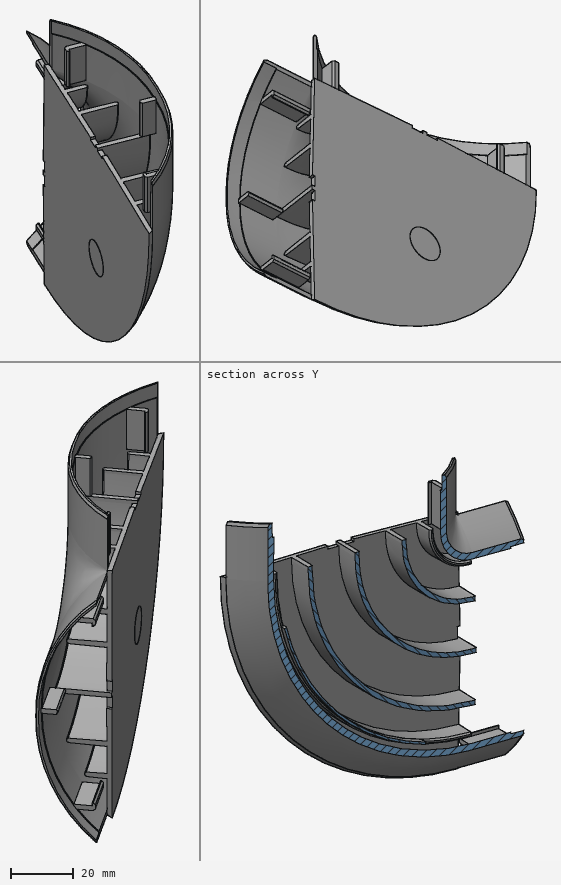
import cadquery as cq
import math


mid_radius = 44.6
half_width = 44.5
crown_height = 19.8
shell_thickness = 1.4
arm_length = 19.9
bend_angle = 90.0
flank_radius = 56.7

flank_chord = math.hypot(half_width, crown_height)
chord_to_center = math.sqrt(flank_radius**2 - (flank_chord / 2) ** 2)
flank_center_offset = half_width / 2 - chord_to_center * crown_height / flank_chord
flank_center_height = crown_height / 2 - chord_to_center * half_width / flank_chord

mouth_depth = 5.1
mouth_thickness = 1.1
mouth_chamfer_length = 1.1
mouth_chamfer_depth = 0.4

rib_width = 1.8
rib_bottom = 13.2
rib_tip_height = 0.5
rib_top = 19.3
rib_end_gap = 4.5

hook_inner = 33.5
hook_outer = 35.2
hook_top = 8.1
hook_bottom = 1.2
hook_toe_length = 1.1
hook_toe_height = 1.0
hook_corner = 0.7
hook_end_gap = 0.2

base_thickness = 1.7
base_radius = 90.2
base_edge_slope = 1.0
corner_overhang = 0.5
edge_peak = 1.0
notch_half_width = 5.1
notch_depth = 1.1
boss_radius = 6.2
boss_height = 0.1

wall_root_width = 2.0
wall_tip_width = 1.7
wall_tip_chamfer = 0.5
inner_wall_offset = 18.2
inner_wall_height = 13.1
outer_wall_offset = 30.2
outer_wall_height = 7.3
center_wall_width = 1.8
center_wall_height = 16.8

tab_inner_radius = 74.0
tab_outer_radius = 75.0
tab_height = 9.7
tab_end_angle = 14.0

edge_reach = corner_overhang + edge_peak
clear = 110.1


def to_second_end(shape):
    """Carry a shape from the +Z end of the bend to the matching place at the -X end."""
    return shape.mirror("XY").rotate((0, 0, 0), (0, 1, 0), bend_angle)


def flank_points(inset, side):
    """Crown, shoulder and end of one flank arc, inset from the outer arc; side is +1 or -1."""
    radius = flank_radius - inset
    crown_angle = -math.asin(flank_center_offset / radius)
    end_angle = math.acos(-flank_center_height / radius)
    angles = (crown_angle, (crown_angle + end_angle) / 2, end_angle)
    return [
        (
            mid_radius + side * (flank_center_offset + radius * math.sin(angle)),
            flank_center_height + radius * math.cos(angle),
        )
        for angle in angles
    ]


def segment(inset):
    """Closed circular segment above the seat, split at the crown."""
    crown, left_shoulder, left = flank_points(inset, -1)
    crown, right_shoulder, right = flank_points(inset, 1)
    return (
        cq.Workplane("XY")
        .moveTo(*left)
        .threePointArc(left_shoulder, crown)
        .threePointArc(right_shoulder, right)
        .close()
    )


def shell_section():
    """Closed band between the outer arc and the inner arc of the shell."""
    crown, left_shoulder, left = flank_points(0, -1)
    crown, right_shoulder, right = flank_points(0, 1)
    in_crown, in_left_shoulder, in_left = flank_points(shell_thickness, -1)
    in_crown, in_right_shoulder, in_right = flank_points(shell_thickness, 1)
    return (
        cq.Workplane("XY")
        .moveTo(*left)
        .threePointArc(left_shoulder, crown)
        .threePointArc(right_shoulder, right)
        .lineTo(*in_right)
        .threePointArc(in_right_shoulder, in_crown)
        .threePointArc(in_left_shoulder, in_left)
        .close()
    )


def sweep_bend(make_profile, reach):
    """Turn a profile through the bend and run it straight past both ends by reach."""
    bend = make_profile().revolve(bend_angle, (0, 0), (0, 1))
    straight = make_profile().extrude(reach)
    return bend.union(straight).union(to_second_end(straight))


def make_crown_rib():
    length = arm_length - rib_end_gap - edge_reach
    half = rib_width / 2
    return (
        cq.Workplane("XY", origin=(mid_radius, 0, edge_reach))
        .moveTo(-half, rib_top)
        .lineTo(-half, rib_bottom + rib_tip_height)
        .lineTo(0, rib_bottom)
        .lineTo(half, rib_bottom + rib_tip_height)
        .lineTo(half, rib_top)
        .close()
        .extrude(length)
    )


def make_hook(side):
    """Hook with its toe turned toward the crown line; side is +1 outside the bend, -1 inside."""
    outline = [
        (hook_inner, hook_top),
        (hook_inner, hook_bottom + hook_toe_height),
        (hook_inner - hook_toe_length, hook_bottom + hook_toe_height),
        (hook_inner - hook_toe_length, hook_bottom + hook_corner),
        (hook_inner - hook_toe_length + hook_corner, hook_bottom),
        (hook_outer - hook_corner, hook_bottom),
        (hook_outer, hook_bottom + hook_corner),
        (hook_outer, hook_top),
    ]
    points = [(mid_radius + side * offset, height) for offset, height in outline]
    length = arm_length - mouth_depth - hook_end_gap
    return cq.Workplane("XY", origin=(0, 0, hook_end_gap)).polyline(points).close().extrude(length)


def make_arm():
    arm = segment(0).extrude(arm_length)
    arm = arm.faces(">Z").edges("%CIRCLE").chamfer(mouth_chamfer_length, mouth_chamfer_depth)
    arm = arm.cut(segment(shell_thickness).extrude(arm_length), clean=False)
    mouth = segment(mouth_thickness).extrude(mouth_depth)
    arm = arm.cut(mouth.translate((0, 0, arm_length - mouth_depth)), clean=False)
    arm = arm.union(make_crown_rib(), clean=False)
    for side in (1, -1):
        arm = arm.union(make_hook(side), clean=False)
    return arm


def make_cover():
    bend = shell_section().revolve(bend_angle, (0, 0), (0, 1))
    arm = make_arm()
    return bend.union(arm, clean=False).union(to_second_end(arm), clean=False)


def make_trim():
    """Tall block bounded by the two shallow-peaked edges of the base."""
    return (
        cq.Workplane("XZ", origin=(0, clear, 0))
        .moveTo(-corner_overhang, corner_overhang)
        .lineTo(mid_radius, edge_reach)
        .lineTo(base_radius, corner_overhang)
        .lineTo(clear, corner_overhang)
        .lineTo(clear, -clear)
        .lineTo(-corner_overhang, -clear)
        .lineTo(-corner_overhang, -base_radius)
        .lineTo(-edge_reach, -mid_radius)
        .close()
        .extrude(2 * clear)
    )


def make_plate():
    return (
        cq.Workplane("XY")
        .polyline([
            (0, 0),
            (base_radius - base_edge_slope, 0),
            (base_radius, -base_thickness),
            (0, -base_thickness),
        ])
        .close()
        .revolve(360, (0, 0), (0, 1))
    )


def make_wall(radius, root_width, tip_width, height):
    root = root_width / 2
    tip = tip_width / 2

    def profile():
        return cq.Workplane("XY").polyline([
            (radius - root, -base_thickness / 2),
            (radius - root, 0),
            (radius - tip, height - wall_tip_chamfer),
            (radius - tip + wall_tip_chamfer, height),
            (radius + tip - wall_tip_chamfer, height),
            (radius + tip, height - wall_tip_chamfer),
            (radius + root, 0),
            (radius + root, -base_thickness / 2),
        ]).close()

    return sweep_bend(profile, 2 * edge_reach)


def make_tab():
    return (
        cq.Workplane("XY")
        .moveTo(tab_inner_radius, 0)
        .lineTo(tab_outer_radius, 0)
        .lineTo(tab_outer_radius, tab_height)
        .lineTo(tab_inner_radius, tab_height)
        .close()
        .revolve(bend_angle - 2 * tab_end_angle, (0, 0), (0, 1))
        .rotate((0, 0, 0), (0, 1, 0), tab_end_angle)
    )


def make_notch(side):
    """Notch in the plate edge beside the centre wall, on the +Z edge."""
    width = notch_half_width - center_wall_width / 2
    middle = mid_radius + side * (notch_half_width + center_wall_width / 2) / 2
    floor = edge_reach - notch_depth
    return cq.Workplane("XY").box(width, 2 * base_thickness, 2 * notch_depth).translate(
        (middle, -base_thickness, floor + notch_depth)
    )


def make_base():
    base = make_plate()
    walls = ((inner_wall_offset, inner_wall_height), (outer_wall_offset, outer_wall_height))
    for offset, height in walls:
        for side in (1, -1):
            radius = mid_radius + side * offset
            base = base.union(make_wall(radius, wall_root_width, wall_tip_width, height))
    base = base.union(make_wall(mid_radius, center_wall_width, center_wall_width, center_wall_height))
    base = base.intersect(make_trim())
    base = base.union(make_tab())
    for side in (1, -1):
        notch = make_notch(side)
        base = base.cut(notch).cut(to_second_end(notch))
    boss = (
        cq.Workplane("XZ", origin=(mid_radius, -base_thickness, -mid_radius))
        .circle(boss_radius)
        .extrude(boss_height)
    )
    return base.union(boss)


cover = make_cover()
base = make_base()
result = cq.Compound.makeCompound([cover.val(), base.val()])